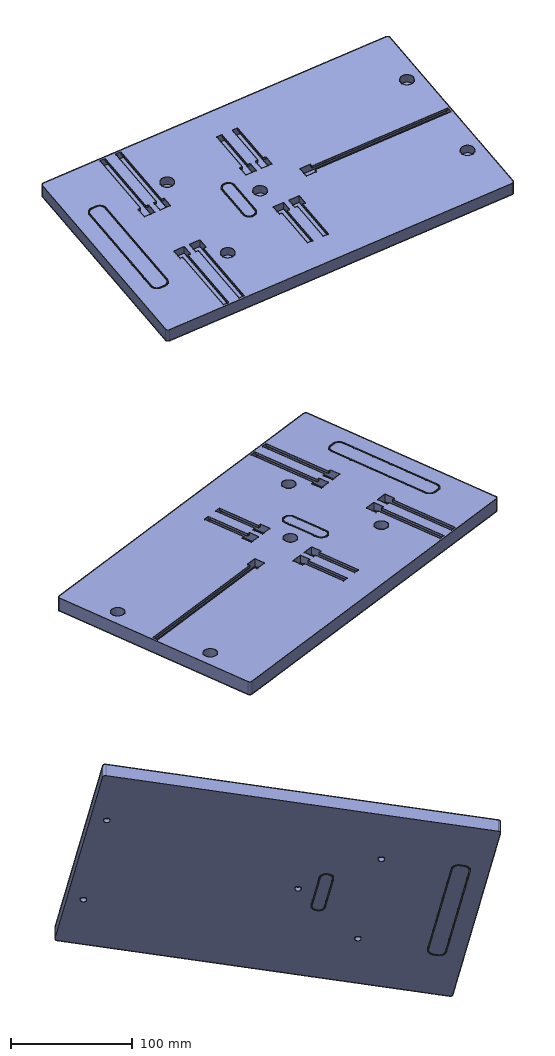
import cadquery as cq

PLATE_WIDTH = 200.0
PLATE_LENGTH = 334.0
PLATE_THICKNESS = 13.0
CORNER_RADIUS = 2.5

HOLE_DIAMETER = 5.5
COUNTERBORE_DIAMETER = 12.0
COUNTERBORE_DEPTH = 8.7
HOLE_OFFSET_X = 48.0
REAR_HOLE_Y = 153.3
CENTRE_HOLE_Y = -17.0
FRONT_HOLE_Y = -77.0

CHANNEL_WIDTH = 5.0
HEAD_SIZE = 10.0
LIP_THICKNESS = 2.5
SLOT_DEPTH = 7.7
EDGE_MARGIN = 2.0

REAR_HEAD_Y = 24.5

MIDDLE_HEAD_LENGTH = 9.7
MIDDLE_HEAD_X = 21.7
MIDDLE_CHANNEL_END_X = 72.0
MIDDLE_PAIR_Y = -5.0

FRONT_HEAD_X = 23.5
FRONT_PAIR_Y = -101.5

PAIR_SPACING = 15.0

GROOVE_WIDTH = 1.0
TAB_WIDTH = 1.5

SMALL_RING_LENGTH = 44.8
SMALL_RING_HEIGHT = 12.0
SMALL_RING_RADIUS = 5.7
SMALL_RING_Y = -37.5
SMALL_RING_TAB_X = 13.0
SMALL_RING_TABS_X = (-SMALL_RING_TAB_X, SMALL_RING_TAB_X)

LARGE_RING_LENGTH = 109.2
LARGE_RING_HEIGHT = 16.0
LARGE_RING_RADIUS = 6.0
LARGE_RING_Y = -143.5
REAR_TAB_PITCH = 19.7
FRONT_TAB_PITCH = 18.5
LARGE_RING_REAR_TABS_X = [REAR_TAB_PITCH * step for step in (-1.5, -0.5, 0.5, 1.5)]
LARGE_RING_FRONT_TABS_X = [FRONT_TAB_PITCH * step for step in (-2, -1, 0, 1, 2)]


def keyhole_slot(channel_length, head_length=HEAD_SIZE):
    """Keyhole slot along +X from the origin, measured from the closed end of its head.

    The undercut is as wide as the head and lies below the lip for the whole length.
    """
    undercut_height = SLOT_DEPTH - LIP_THICKNESS
    from_start = (False, True, False)
    floor = cq.Workplane("XY", origin=(0, 0, PLATE_THICKNESS - SLOT_DEPTH))
    head = floor.box(head_length, HEAD_SIZE, SLOT_DEPTH, centered=from_start)
    channel = floor.box(channel_length, CHANNEL_WIDTH, SLOT_DEPTH, centered=from_start)
    undercut = floor.box(channel_length, HEAD_SIZE, undercut_height, centered=from_start)
    return head.union(channel).union(undercut)


def rounded_block(length, height, radius, y):
    """Full-thickness block centred on X with rounded vertical edges."""
    block = cq.Workplane("XY").box(length, height, PLATE_THICKNESS, centered=(True, True, False))
    return block.edges("|Z").fillet(radius).translate((0, y, 0))


def ring_groove(length, height, radius, y, rear_tabs_x, front_tabs_x):
    """Through groove around a rounded island, interrupted by tabs on both straight sides."""
    inset = 2 * GROOVE_WIDTH
    island = rounded_block(length - inset, height - inset, radius - GROOVE_WIDTH, y)
    groove = rounded_block(length, height, radius, y).cut(island)
    tab_y = (height - GROOVE_WIDTH) / 2
    tab_centres = [(x, tab_y) for x in rear_tabs_x] + [(x, -tab_y) for x in front_tabs_x]
    tab_plane = cq.Workplane("XY", origin=(0, y, 0))
    tabs = tab_plane.pushPoints(tab_centres).rect(TAB_WIDTH, inset).extrude(PLATE_THICKNESS)
    return groove.cut(tabs)


plate = rounded_block(PLATE_WIDTH, PLATE_LENGTH, CORNER_RADIUS, 0)

hole_centres = [(0, CENTRE_HOLE_Y)]
for hole_y in (REAR_HOLE_Y, FRONT_HOLE_Y):
    hole_centres += [(-HOLE_OFFSET_X, hole_y), (HOLE_OFFSET_X, hole_y)]

result = (
    plate.faces(">Z")
    .workplane(origin=(0, 0, PLATE_THICKNESS))
    .pushPoints(hole_centres)
    .cboreHole(HOLE_DIAMETER, COUNTERBORE_DIAMETER, COUNTERBORE_DEPTH)
)

rear_slot = keyhole_slot(PLATE_LENGTH / 2 - EDGE_MARGIN - REAR_HEAD_Y)
rear_slot = rear_slot.rotate((0, 0, 0), (0, 0, 1), 90).translate((0, REAR_HEAD_Y, 0))
result = result.cut(rear_slot)

middle_slot = keyhole_slot(MIDDLE_CHANNEL_END_X - MIDDLE_HEAD_X, MIDDLE_HEAD_LENGTH)
front_slot = keyhole_slot(PLATE_WIDTH / 2 - EDGE_MARGIN - FRONT_HEAD_X)
slot_groups = (
    (middle_slot, MIDDLE_HEAD_X, MIDDLE_PAIR_Y),
    (front_slot, FRONT_HEAD_X, FRONT_PAIR_Y),
)
for slot, head_x, pair_y in slot_groups:
    for row_offset in (-PAIR_SPACING / 2, PAIR_SPACING / 2):
        right_slot = slot.translate((head_x, pair_y + row_offset, 0))
        result = result.cut(right_slot).cut(right_slot.mirror("YZ"))

small_ring = ring_groove(
    SMALL_RING_LENGTH,
    SMALL_RING_HEIGHT,
    SMALL_RING_RADIUS,
    SMALL_RING_Y,
    SMALL_RING_TABS_X,
    SMALL_RING_TABS_X,
)
large_ring = ring_groove(
    LARGE_RING_LENGTH,
    LARGE_RING_HEIGHT,
    LARGE_RING_RADIUS,
    LARGE_RING_Y,
    LARGE_RING_REAR_TABS_X,
    LARGE_RING_FRONT_TABS_X,
)
result = result.cut(small_ring).cut(large_ring)